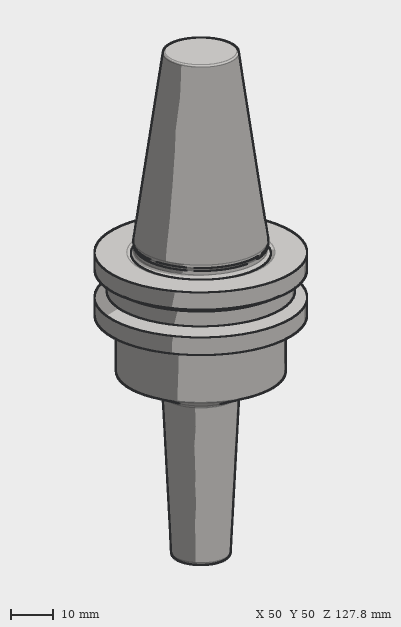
import cadquery as cq
import math


gauge_radius = 31.75 / 2
taper_length = 47.8
taper_slope = 7 / 48
top_edge_round = 0.5

band_height = 0.75
neck_radius = 15.6
neck_top_z = -1.6

undercut_radius = 17.4
undercut_depth = 0.25
undercut_round = 0.85

flange_radius = 25.0
flange_top_z = -3.2
flange_bottom_z = -19.1
groove_centre_z = -11.1
groove_floor_radius = 22.15
groove_floor_width = 3.75
groove_flank_angle = 30

body_radius = 20.0
body_bottom_z = -33.3
body_round = 0.3

nose_root_radius = 9.1
nose_root_z = -38.5
nose_tip_radius = 7.0
tip_z = -80.0
tip_round = 1.0
nose_root_round = 0.8


def revolve_outline(outline):
    """Revolve a closed XZ outline about the Z axis."""
    return outline.revolve(360, (0, 0, 0), (0, 1, 0))


def revolve_profile(points):
    """Revolve a closed outline given as (radius, height) corners."""
    return revolve_outline(cq.Workplane("XZ").polyline(points).close())


def make_taper():
    top_radius = gauge_radius - taper_slope * taper_length
    return revolve_profile([
        (0, neck_top_z),
        (neck_radius, neck_top_z),
        (gauge_radius, -band_height),
        (gauge_radius, 0),
        (top_radius, taper_length),
        (0, taper_length),
    ])


def make_flange():
    flank_height = (flange_radius - groove_floor_radius) * math.tan(math.radians(groove_flank_angle))
    floor_half = groove_floor_width / 2
    rim_half = floor_half + flank_height
    undercut_z = flange_top_z - undercut_depth
    round_middle = undercut_round * (1 - math.sqrt(0.5))
    outline = (
        cq.Workplane("XZ")
        .moveTo(0, neck_top_z)
        .lineTo(neck_radius, neck_top_z)
        .lineTo(neck_radius, undercut_z + undercut_round)
        .threePointArc(
            (neck_radius + round_middle, undercut_z + round_middle),
            (neck_radius + undercut_round, undercut_z),
        )
        .lineTo(undercut_radius, flange_top_z)
        .lineTo(flange_radius, flange_top_z)
        .lineTo(flange_radius, groove_centre_z + rim_half)
        .lineTo(groove_floor_radius, groove_centre_z + floor_half)
        .lineTo(groove_floor_radius, groove_centre_z - floor_half)
        .lineTo(flange_radius, groove_centre_z - rim_half)
        .lineTo(flange_radius, flange_bottom_z)
        .lineTo(0, flange_bottom_z)
        .close()
    )
    return revolve_outline(outline)


def make_body_and_nose():
    return revolve_profile([
        (0, flange_bottom_z),
        (body_radius, flange_bottom_z),
        (body_radius, body_bottom_z),
        (nose_root_radius, nose_root_z),
        (nose_tip_radius, tip_z),
        (0, tip_z),
    ])


def circles_at(solid, z):
    """Circular edges of the solid lying at height z."""
    reach = 2 * flange_radius
    margin = 0.01
    slab = cq.selectors.BoxSelector((-reach, -reach, z - margin), (reach, reach, z + margin))
    return solid.edges(slab).edges("%CIRCLE")


def round_edges(solid):
    """Round the taper top, the body's top and bottom corners, the nose root and the nose tip."""
    smallest_circle = cq.selectors.RadiusNthSelector(0)
    solid = circles_at(solid, flange_bottom_z).edges(smallest_circle).fillet(body_round)
    rounds = [
        (taper_length, top_edge_round),
        (body_bottom_z, body_round),
        (nose_root_z, nose_root_round),
        (tip_z, tip_round),
    ]
    for edge_z, radius in rounds:
        solid = circles_at(solid, edge_z).fillet(radius)
    return solid


result = round_edges(make_taper().union(make_flange()).union(make_body_and_nose()))